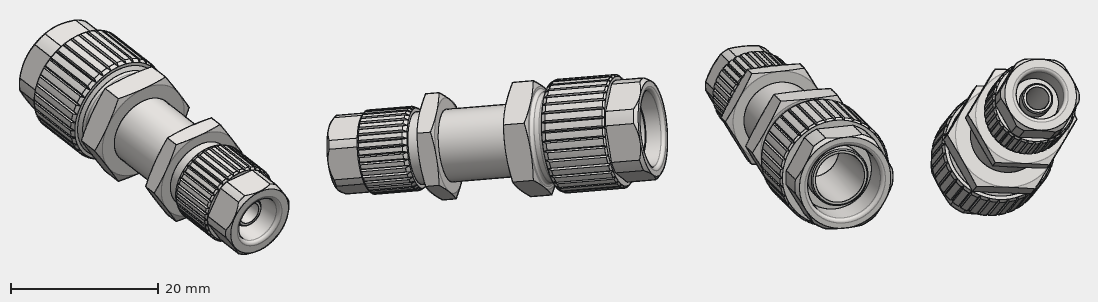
import cadquery as cq
import math


TOTAL_LENGTH = 44.9
NUT_HEX_LENGTH = 4.5
NUT_HEX_CHAMFER = 0.5
GROOVE_COUNT = 36
GROOVE_DEPTH = 0.25
GROOVE_WIDTH = 0.35
GRIP_END_TAPER = 0.6

LARGE_NUT_FLATS = 13.0
LARGE_NUT_CORNERS = 14.0
LARGE_GRIP_DIAMETER = 15.5
LARGE_GRIP_LENGTH = 9.0
LARGE_COLLAR_LENGTH = 0.35
LARGE_COLLAR_RADIUS = 7.0

SMALL_NUT_FLATS = 9.95
SMALL_NUT_CORNERS = 10.85
SMALL_GRIP_DIAMETER = 11.5
SMALL_GRIP_LENGTH = 7.1

BARREL_DIAMETER = 9.92
LARGE_SPIGOT_RADIUS = 5.85
SMALL_SPIGOT_RADIUS = 4.25
NECK_RADIUS = 6.2
NECK_FILLET = 0.5
NECK_FILLET_LENGTH = 0.4
FLANGE_START = 15.45
FLANGE_LENGTH = 3.55
FLANGE_FLATS = 14.0

LOCKNUT_START = 29.0
LOCKNUT_LENGTH = 2.45
LOCKNUT_FLATS = 13.0
HEX_CHAMFER_ANGLE = 15.0

THROUGH_BORE_RADIUS = 1.55
LARGE_BORE_RADIUS = 3.5
SLEEVE_WALL = 0.55
SLEEVE_TIP_CHAMFER = 0.2
SLEEVE_RECESS = 2.25
TUBE_SPACE = 1.15
MOUTH_FILLET = 0.55
BORE_CONE_START = 13.45
BORE_CONE_ANGLE = 60.0

LARGE_GRIP_END = NUT_HEX_LENGTH + LARGE_GRIP_LENGTH
LARGE_NUT_END = LARGE_GRIP_END + LARGE_COLLAR_LENGTH
SMALL_NUT_START = TOTAL_LENGTH - NUT_HEX_LENGTH - SMALL_GRIP_LENGTH
LARGE_SLEEVE_RADIUS = LARGE_BORE_RADIUS + SLEEVE_WALL
SMALL_SLEEVE_RADIUS = THROUGH_BORE_RADIUS + SLEEVE_WALL
BARREL_RADIUS = BARREL_DIAMETER / 2
NECK_START = LARGE_NUT_END + NECK_FILLET_LENGTH
NECK_RIM_RADIUS = NECK_RADIUS + NECK_FILLET - math.sqrt(NECK_FILLET**2 - NECK_FILLET_LENGTH**2)


def revolved(outline):
    """Solid of revolution of a closed XY outline about the X axis."""
    return outline.close().revolve(360, (0, 0, 0), (1, 0, 0))


def cylinder(start, end, radius):
    return cq.Workplane("YZ", origin=(start, 0, 0)).circle(radius).extrude(end - start)


def hexagon(start, length, flats):
    """Hexagonal prism along X with corners on +Y and -Y."""
    corner_diameter = flats / math.cos(math.radians(30))
    return cq.Workplane("YZ", origin=(start, 0, 0)).polygon(6, corner_diameter).extrude(length)


def chamfered_hexagon(start, length, flats):
    """Hexagonal prism with its corners turned off conically at both ends."""
    face_radius = flats / 2
    corner_radius = face_radius / math.cos(math.radians(30))
    depth = (corner_radius - face_radius) * math.tan(math.radians(HEX_CHAMFER_ANGLE))
    end = start + length
    envelope = revolved(
        cq.Workplane("XY")
        .moveTo(start, 0)
        .lineTo(start, face_radius)
        .lineTo(start + depth, corner_radius)
        .lineTo(end - depth, corner_radius)
        .lineTo(end, face_radius)
        .lineTo(end, 0)
    )
    return hexagon(start, length, flats).intersect(envelope)


def nut_hexagon(flats, corners):
    """Hexagon with rounded corners, chamfered at the open end."""
    envelope = cylinder(0, NUT_HEX_LENGTH, corners / 2).faces("<X").chamfer(NUT_HEX_CHAMFER)
    return hexagon(0, NUT_HEX_LENGTH, flats).intersect(envelope)


def grip(diameter, length):
    """Tapered grip cylinder with V grooves along its length."""
    radius = diameter / 2
    root_radius = radius - GROOVE_DEPTH
    start = NUT_HEX_LENGTH
    end = start + length
    ring = revolved(
        cq.Workplane("XY")
        .moveTo(start, 0)
        .lineTo(start, root_radius)
        .lineTo(start + GROOVE_DEPTH, radius)
        .lineTo(end - GRIP_END_TAPER, radius)
        .lineTo(end, root_radius)
        .lineTo(end, 0)
    )
    cutter_height = 2 * GROOVE_DEPTH
    cutter_half_width = GROOVE_WIDTH
    groove = (
        cq.Workplane("YZ", origin=(start, 0, 0))
        .moveTo(root_radius, 0)
        .lineTo(root_radius + cutter_height, cutter_half_width)
        .lineTo(root_radius + cutter_height, -cutter_half_width)
        .close()
        .extrude(length)
    )
    grooves = [
        groove.rotate((0, 0, 0), (1, 0, 0), i * 360 / GROOVE_COUNT).val()
        for i in range(GROOVE_COUNT)
    ]
    return ring.cut(cq.Compound.makeCompound(grooves))


def nut_blank(flats, corners, grip_diameter, grip_length):
    return nut_hexagon(flats, corners).union(grip(grip_diameter, grip_length))


def nut_cavity(mouth_radius, spigot_radius, nut_end):
    """Space inside a nut: a mouth with a rounded rim, then the seat of the body's spigot."""
    rim_radius = mouth_radius + MOUTH_FILLET
    return revolved(
        cq.Workplane("XY")
        .lineTo(0, rim_radius)
        .radiusArc((MOUTH_FILLET, mouth_radius), -MOUTH_FILLET)
        .lineTo(NUT_HEX_LENGTH, mouth_radius)
        .lineTo(NUT_HEX_LENGTH, spigot_radius)
        .lineTo(nut_end, spigot_radius)
        .lineTo(nut_end, 0)
    )


def make_large_nut():
    collar = revolved(
        cq.Workplane("XY")
        .moveTo(LARGE_GRIP_END, 0)
        .lineTo(LARGE_GRIP_END, LARGE_COLLAR_RADIUS)
        .lineTo(LARGE_NUT_END, NECK_RIM_RADIUS)
        .lineTo(LARGE_NUT_END, 0)
    )
    blank = nut_blank(LARGE_NUT_FLATS, LARGE_NUT_CORNERS, LARGE_GRIP_DIAMETER, LARGE_GRIP_LENGTH)
    cavity = nut_cavity(LARGE_SLEEVE_RADIUS + TUBE_SPACE, LARGE_SPIGOT_RADIUS, LARGE_NUT_END)
    return blank.union(collar).cut(cavity)


def make_small_nut():
    """Built with its open end at X = 0, then turned round to face +X."""
    blank = nut_blank(SMALL_NUT_FLATS, SMALL_NUT_CORNERS, SMALL_GRIP_DIAMETER, SMALL_GRIP_LENGTH)
    cavity = nut_cavity(
        SMALL_SLEEVE_RADIUS + TUBE_SPACE, SMALL_SPIGOT_RADIUS, NUT_HEX_LENGTH + SMALL_GRIP_LENGTH
    )
    nut = blank.cut(cavity)
    return nut.rotate((0, 0, 0), (0, 0, 1), 180).translate((TOTAL_LENGTH, 0, 0))


def insert_sleeve(tip, root, radius):
    """Plain rod for the sleeve, chamfered at its tip; the bore is cut later."""
    tip_face = "<X" if tip < root else ">X"
    return cylinder(min(tip, root), max(tip, root), radius).faces(tip_face).chamfer(SLEEVE_TIP_CHAMFER)


def make_body():
    neck = revolved(
        cq.Workplane("XY")
        .moveTo(LARGE_NUT_END, 0)
        .lineTo(LARGE_NUT_END, NECK_RIM_RADIUS)
        .radiusArc((NECK_START, NECK_RADIUS), -NECK_FILLET)
        .lineTo(FLANGE_START - NECK_FILLET, NECK_RADIUS)
        .radiusArc((FLANGE_START, NECK_RADIUS + NECK_FILLET), -NECK_FILLET)
        .lineTo(FLANGE_START, 0)
    )
    small_spigot_end = TOTAL_LENGTH - NUT_HEX_LENGTH
    sections = [
        insert_sleeve(SLEEVE_RECESS, NUT_HEX_LENGTH, LARGE_SLEEVE_RADIUS),
        cylinder(NUT_HEX_LENGTH, LARGE_NUT_END, LARGE_SPIGOT_RADIUS),
        chamfered_hexagon(FLANGE_START, FLANGE_LENGTH, FLANGE_FLATS),
        cylinder(FLANGE_START + FLANGE_LENGTH, SMALL_NUT_START, BARREL_RADIUS),
        cylinder(SMALL_NUT_START, small_spigot_end, SMALL_SPIGOT_RADIUS),
        insert_sleeve(TOTAL_LENGTH - SLEEVE_RECESS, small_spigot_end, SMALL_SLEEVE_RADIUS),
    ]
    body = neck
    for section in sections:
        body = body.union(section)

    cone_length = (LARGE_BORE_RADIUS - THROUGH_BORE_RADIUS) / math.tan(math.radians(BORE_CONE_ANGLE))
    bore = revolved(
        cq.Workplane("XY")
        .lineTo(0, LARGE_BORE_RADIUS)
        .lineTo(BORE_CONE_START, LARGE_BORE_RADIUS)
        .lineTo(BORE_CONE_START + cone_length, THROUGH_BORE_RADIUS)
        .lineTo(TOTAL_LENGTH, THROUGH_BORE_RADIUS)
        .lineTo(TOTAL_LENGTH, 0)
    )
    return body.cut(bore)


def make_locknut():
    blank = chamfered_hexagon(LOCKNUT_START, LOCKNUT_LENGTH, LOCKNUT_FLATS)
    return blank.cut(cylinder(LOCKNUT_START, LOCKNUT_START + LOCKNUT_LENGTH, BARREL_RADIUS))


body = make_body()
locknut = make_locknut()
large_nut = make_large_nut()
small_nut = make_small_nut()

result = cq.Compound.makeCompound([body.val(), locknut.val(), large_nut.val(), small_nut.val()])